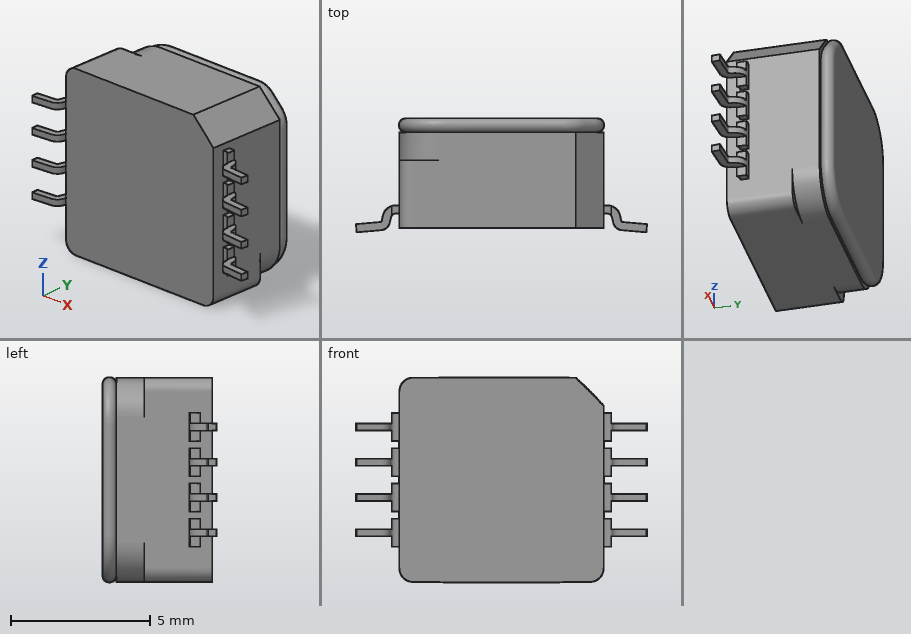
import cadquery as cq
import math

body_width = 7.35
body_depth = 3.44
body_corner_radius = 0.5
pin_one_chamfer = 1.0

cap_overhang = 0.016
cap_width = body_width + 2 * cap_overhang
cap_edge_radius = 0.25
cap_rim_flat = 0.002
cap_thickness = 2 * cap_edge_radius + cap_rim_flat
cap_corner_radius = 1.64
cap_chamfer_corner_radius = 0.99
cap_chamfer = pin_one_chamfer + cap_overhang * (2 - math.sqrt(2))

upper_corner_depth = 1.0
upper_corner_radius = 1.4

leads_per_side = 4
lead_pitch = 1.27
lead_thickness = 0.3
lead_width = 0.26
shoulder_width = 1.02
shoulder_reach = 3.95
lead_exit_height = 0.67
lead_embed = 0.1
shoulder_bend_start = 3.8
shoulder_bend_radius = 0.32
drop_angle = math.radians(78)
foot_bend_radius = 0.21
foot_angle = math.radians(5)
lead_reach = 5.24
foot_tip_height = -0.004


def square_block(width, chamfer, depth, base):
    """Square prism along +Y from Y = base, chamfered at the +X +Z corner."""
    half = width / 2
    return (
        cq.Workplane("XZ", origin=(0, base, 0))
        .moveTo(-half, -half)
        .lineTo(half, -half)
        .lineTo(half, half - chamfer)
        .lineTo(half - chamfer, half)
        .lineTo(-half, half)
        .close()
        .extrude(-depth)
    )


def round_square_corners(block, radius):
    """Round the three corners that have no chamfer."""
    corners = block.edges("|Y").edges("<X or <Z")
    return corners.fillet(radius)


def make_body():
    lower_depth = body_depth - upper_corner_depth
    block = square_block(body_width, pin_one_chamfer, lower_depth, 0)
    lower = round_square_corners(block, body_corner_radius)
    block = square_block(body_width, pin_one_chamfer, upper_corner_depth, lower_depth)
    upper = round_square_corners(block, upper_corner_radius)
    return lower.union(upper)


def make_cap():
    cap = square_block(cap_width, cap_chamfer, cap_thickness, body_depth)
    cap = round_square_corners(cap, cap_corner_radius)
    chamfer_middle = (cap_width - cap_chamfer) / 2
    chamfer_ends = cq.selectors.BoxSelector(
        (chamfer_middle - cap_chamfer, body_depth, chamfer_middle - cap_chamfer),
        (cap_width, body_depth + cap_thickness, cap_width),
    )
    cap = cap.edges("|Y").edges(chamfer_ends).fillet(cap_chamfer_corner_radius)
    return cap.faces("<Y or >Y").edges().fillet(cap_edge_radius)


def arc_point(center, radius, angle):
    """Point on a circle, with the angle measured from +Y towards +X."""
    return (center[0] + radius * math.sin(angle), center[1] + radius * math.cos(angle))


def lead_centerline():
    """Path in the XY plane: out of the +X wall, down the drop, along the foot."""
    shoulder_center = (shoulder_bend_start, lead_exit_height - shoulder_bend_radius)
    drop_top = arc_point(shoulder_center, shoulder_bend_radius, drop_angle)
    shoulder_mid = arc_point(shoulder_center, shoulder_bend_radius, drop_angle / 2)

    tip_x = lead_reach - lead_thickness / 2 * math.sin(foot_angle)

    bend_run = foot_bend_radius * (math.sin(drop_angle) - math.sin(foot_angle))
    bend_fall = foot_bend_radius * (math.cos(foot_angle) - math.cos(drop_angle))
    slope = math.tan(foot_angle)
    foot_run = tip_x - drop_top[0] - bend_run
    height_left = drop_top[1] - bend_fall - foot_tip_height - slope * foot_run
    drop_length = height_left / (math.sin(drop_angle) - slope * math.cos(drop_angle))
    drop_end = (
        drop_top[0] + drop_length * math.cos(drop_angle),
        drop_top[1] - drop_length * math.sin(drop_angle),
    )
    foot_center = arc_point(drop_end, foot_bend_radius, drop_angle)
    foot_mid = arc_point(foot_center, -foot_bend_radius, (drop_angle + foot_angle) / 2)
    foot_start = arc_point(foot_center, -foot_bend_radius, foot_angle)

    return (
        cq.Workplane("XY")
        .moveTo(body_width / 2 - lead_embed, lead_exit_height)
        .lineTo(shoulder_bend_start, lead_exit_height)
        .threePointArc(shoulder_mid, drop_top)
        .lineTo(*drop_end)
        .threePointArc(foot_mid, foot_start)
        .lineTo(tip_x, foot_tip_height)
    )


def lead_strip(width):
    start = (body_width / 2 - lead_embed, lead_exit_height, 0)
    return cq.Workplane("YZ", origin=start).rect(lead_thickness, width).sweep(lead_centerline())


def make_lead():
    """One lead on the +X side, with a wide shoulder beside the body."""
    shoulder_zone = cq.Workplane("XY").box(2 * shoulder_reach, body_depth, shoulder_width)
    shoulder = lead_strip(shoulder_width).intersect(shoulder_zone)
    return lead_strip(lead_width).union(shoulder)


result = make_body().union(make_cap())
lead = make_lead()
for index in range(leads_per_side):
    lead_z = (index - (leads_per_side - 1) / 2) * lead_pitch
    right_lead = lead.translate((0, 0, lead_z))
    result = result.union(right_lead).union(right_lead.mirror("YZ"))